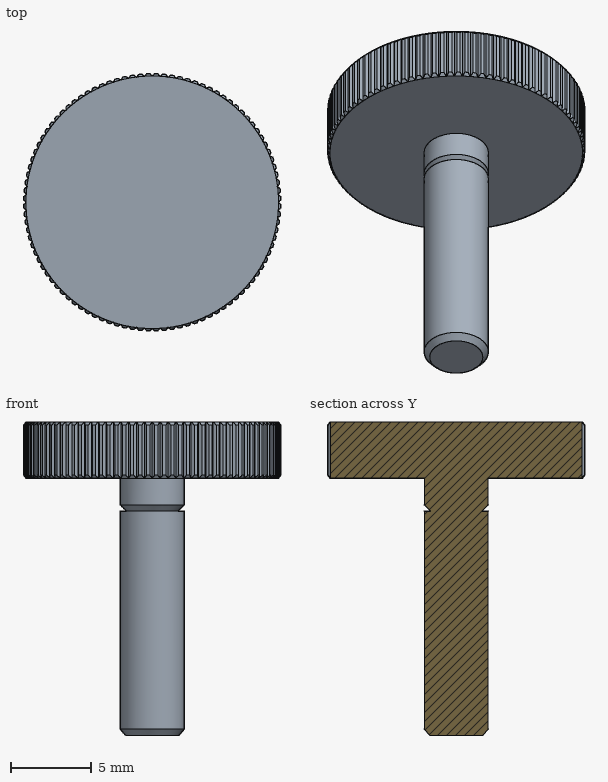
import cadquery as cq
import math

total_height = 19.5
head_diameter = 16.0
head_height = 3.5
rim_chamfer_width = 0.15
rim_chamfer_height = 0.2

stem_diameter = 4.0
collar_height = 1.65
relief_depth = 0.4
tip_chamfer_width = 0.35
tip_chamfer_height = 0.4

groove_count = 100
groove_depth = 0.16
groove_width = 0.3

head_radius = head_diameter / 2
stem_radius = stem_diameter / 2
head_underside = total_height - head_height
collar_bottom = head_underside - collar_height
relief_bottom = collar_bottom - relief_depth


def revolved_body():
    """Head, collar, 45 degree relief groove and stem turned about the Z axis, tip at Z = 0."""
    rim_edge_radius = head_radius - rim_chamfer_width
    half_profile = [
        (0, 0),
        (stem_radius - tip_chamfer_width, 0),
        (stem_radius, tip_chamfer_height),
        (stem_radius, relief_bottom),
        (stem_radius - relief_depth, relief_bottom),
        (stem_radius, collar_bottom),
        (stem_radius, head_underside),
        (rim_edge_radius, head_underside),
        (head_radius, head_underside + rim_chamfer_height),
        (head_radius, total_height - rim_chamfer_height),
        (rim_edge_radius, total_height),
        (0, total_height),
    ]
    return cq.Workplane("XZ").polyline(half_profile).close().revolve(360, (0, 0), (0, 1))


def polar_point(radius, angle):
    return (radius * math.cos(angle), radius * math.sin(angle))


def knurl_prism():
    """Prism as tall as the head, with V grooves cut between teeth that keep the head radius."""
    pitch = 2 * math.pi / groove_count
    half_groove = groove_width / head_radius / 2
    root_radius = head_radius - groove_depth

    outline = cq.Workplane("XY").workplane(offset=head_underside).moveTo(root_radius, 0)
    for groove in range(groove_count):
        root_angle = groove * pitch
        next_root_angle = root_angle + pitch
        outline = outline.lineTo(*polar_point(head_radius, root_angle + half_groove))
        outline = outline.threePointArc(
            polar_point(head_radius, root_angle + pitch / 2),
            polar_point(head_radius, next_root_angle - half_groove),
        )
        if groove < groove_count - 1:
            outline = outline.lineTo(*polar_point(root_radius, next_root_angle))
    return outline.close().extrude(head_height)


def knurl_cutter():
    """Ring around the head whose inner wall is the knurled rim."""
    ring_margin = 1.0
    blank = (
        cq.Workplane("XY")
        .workplane(offset=head_underside)
        .circle(head_radius + ring_margin)
        .extrude(head_height)
    )
    return blank.cut(knurl_prism())


result = revolved_body().cut(knurl_cutter())